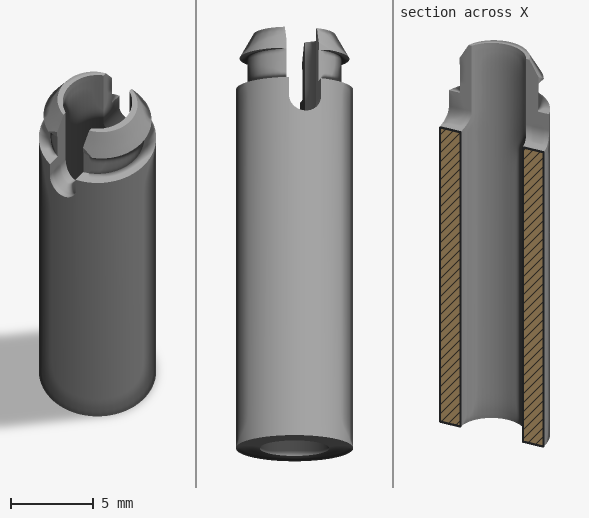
import cadquery as cq

length = 25.6
body_diameter = 7.1
bore_diameter = 4.2

barb_height = 1.48
neck_height = 1.92
neck_diameter = 5.65
barb_base_width = 6.65
barb_top_width = 4.97
barb_axis_offset = 0.3
barb_flat_width = 5.38

slot_width = 1.97
slot_depth = 5.48

barb_base_z = length - barb_height
shoulder_z = barb_base_z - neck_height


def make_body():
    return cq.Workplane("XY").circle(body_diameter / 2).extrude(shoulder_z)


def make_neck():
    neck = cq.Workplane("XY").workplane(offset=shoulder_z)
    return neck.circle(neck_diameter / 2).extrude(neck_height)


def make_barb():
    """Two half cones, each on its own axis shifted away from the slot."""
    base_radius = barb_base_width / 2 - barb_axis_offset
    top_radius = barb_top_width / 2 - barb_axis_offset
    between_flats = cq.Workplane("XY").box(body_diameter, barb_flat_width, 2 * length)
    barb = cq.Workplane("XY")
    for side in (-1, 1):
        cone = cq.Solid.makeCone(
            base_radius,
            top_radius,
            barb_height,
            pnt=cq.Vector(side * barb_axis_offset, 0, barb_base_z),
        )
        barb = barb.add(cone)
    return barb.combine().intersect(between_flats)


def make_slot():
    radius = slot_width / 2
    arc_center_z = length - slot_depth + radius
    return (
        cq.Workplane("XZ")
        .moveTo(-radius, length)
        .lineTo(-radius, arc_center_z)
        .threePointArc((0, length - slot_depth), (radius, arc_center_z))
        .lineTo(radius, length)
        .close()
        .extrude(body_diameter, both=True)
    )


bore = cq.Workplane("XY").circle(bore_diameter / 2).extrude(length)

result = make_body().union(make_neck()).union(make_barb()).cut(bore).cut(make_slot())